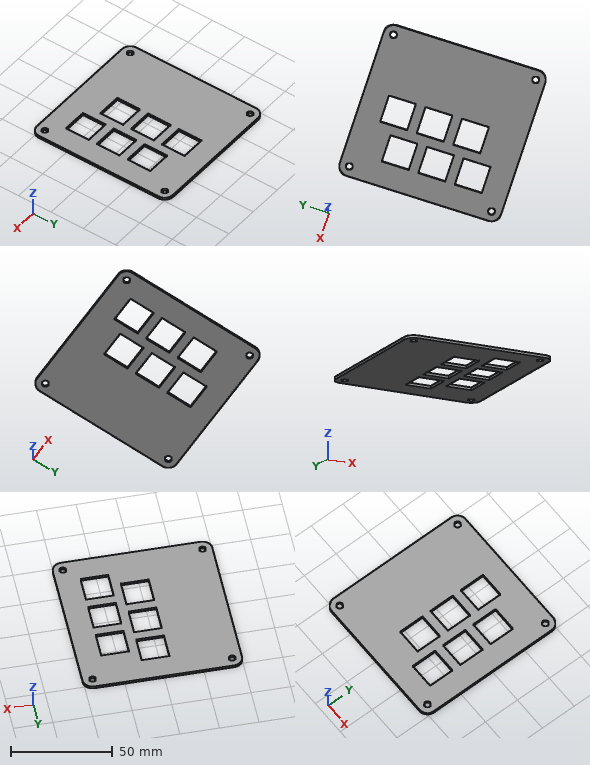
import cadquery as cq

PLATE_WIDTH = 80.5
PLATE_DEPTH = 84.0
PLATE_THICKNESS = 1.5
CORNER_RADIUS = 5.0

MOUNT_HOLE_DIAMETER = 3.4
MOUNT_SPACING_X = PLATE_WIDTH - 2 * CORNER_RADIUS
MOUNT_SPACING_Y = PLATE_DEPTH - 2 * CORNER_RADIUS

KEY_OPENING = 14.0
KEY_PITCH = 19.0
KEYS_PER_COLUMN = 3
SIDE_MARGIN = 12.42
END_MARGIN = 12.5

OUTER_COLUMN_X = PLATE_WIDTH / 2 - SIDE_MARGIN - KEY_OPENING / 2
INNER_COLUMN_X = OUTER_COLUMN_X - KEY_PITCH
COLUMN_SPAN = (KEYS_PER_COLUMN - 1) * KEY_PITCH
BACK_KEY_Y = PLATE_DEPTH / 2 - END_MARGIN - KEY_OPENING / 2
COLUMN_SHIFT = BACK_KEY_Y - COLUMN_SPAN / 2


def make_plate():
    """Flat plate with rounded corners, centred in X and Y and resting on Z = 0."""
    plate = cq.Workplane("XY").box(
        PLATE_WIDTH, PLATE_DEPTH, PLATE_THICKNESS, centered=(True, True, False)
    )
    return plate.edges("|Z").fillet(CORNER_RADIUS)


def cut_mounting_holes(plate):
    """Through hole in each corner."""
    return (
        plate.faces(">Z")
        .workplane(origin=(0, 0, 0))
        .rect(MOUNT_SPACING_X, MOUNT_SPACING_Y, forConstruction=True)
        .vertices()
        .hole(MOUNT_HOLE_DIAMETER)
    )


def cut_key_column(plate, column_x, column_y):
    """Column of square through openings centred on (column_x, column_y)."""
    return (
        plate.faces(">Z")
        .workplane(origin=(column_x, column_y, 0))
        .rarray(KEY_PITCH, KEY_PITCH, 1, KEYS_PER_COLUMN)
        .rect(KEY_OPENING, KEY_OPENING)
        .cutThruAll()
    )


result = make_plate()
result = cut_mounting_holes(result)
result = cut_key_column(result, INNER_COLUMN_X, COLUMN_SHIFT)
result = cut_key_column(result, OUTER_COLUMN_X, -COLUMN_SHIFT)